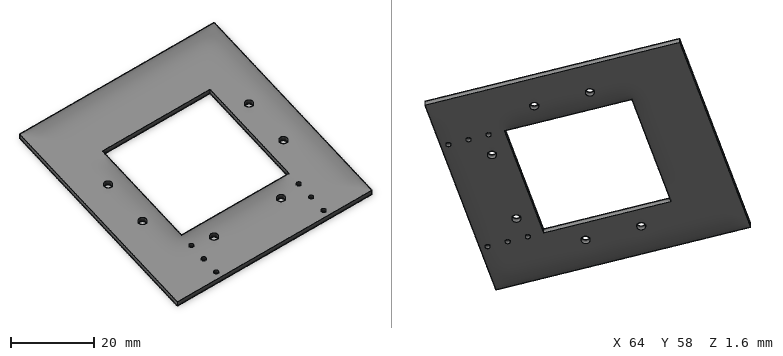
import cadquery as cq

plate_length = 64
plate_width = 58.0
plate_thickness = 1.6
window_side = 32

mount_diameter = 2.2
mount_offset = 21.0
end_pair_spacing = 13.95
side_pair_spacing = 20.0

pin_diameter = 1.2
pin_count = 3
pin_first_x = 20.0
pin_pitch = 5.05
pin_row_y = window_side / 2


def drill(body, points, diameter):
    """Cut through holes at the given XY points."""
    drills = (
        cq.Workplane("XY")
        .pushPoints(points)
        .circle(diameter / 2)
        .extrude(plate_thickness)
    )
    return body.cut(drills)


plate = cq.Workplane("XY").rect(plate_length, plate_width).extrude(plate_thickness)
window = cq.Workplane("XY").rect(window_side, window_side).extrude(plate_thickness)
plate = plate.cut(window)

mount_points = []
pin_points = []
for side in (-1, 1):
    mount_points.append((side * end_pair_spacing / 2, mount_offset))
    mount_points.append((side * end_pair_spacing / 2, -mount_offset))
    mount_points.append((mount_offset, side * side_pair_spacing / 2))
    for i in range(pin_count):
        pin_points.append((pin_first_x + i * pin_pitch, side * pin_row_y))

plate = drill(plate, mount_points, mount_diameter)
result = drill(plate, pin_points, pin_diameter)